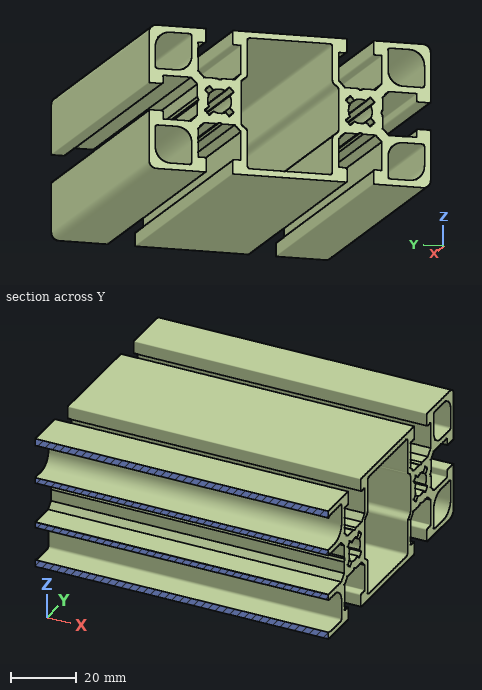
import cadquery as cq

LENGTH = 100.0
MODULE = 45.0
HALF_MODULE = MODULE / 2
WIDTH = 2 * MODULE
CELL_CENTRE = HALF_MODULE
OUTER_RADIUS = 2.4

MOUTH_WIDTH = 8.5
LIP_THICKNESS = 4.5
LIP_OUTER_RADIUS = 0.3
LIP_INNER_RADIUS = 0.5
CHANNEL_WIDTH = 13.7
CHANNEL_CORNER_RADIUS = 0.3
CHANNEL_DEPTH = 15.4
FLOOR_CHAMFER = 2.0
NOTCH_HALF_WIDTH = 0.9
NOTCH_DEPTH = 0.4

WALL = 2.0
POCKET_LARGE_RADIUS = 4.8
POCKET_SMALL_RADIUS = 0.8
CORE_HALF_WIDTH = 6.9
WAIST_HALF_HEIGHT = 6.9
CHAMBER_STEP_DEPTH = 2.0
CHAMBER_STEP_RISE = 1.4
CHAMBER_STEP_RADIUS = 1.5
CHAMBER_CORNER_RADIUS = 0.9

BORE_DIAMETER = 7.6
RELIEF_WIDTH = 2.0
RELIEF_LENGTH = 11.0


def section():
    """Sketch plane of the profile: local x is +Y, local y is +Z."""
    return cq.Workplane("YZ")


def extrude(sketch):
    """Extrude a closed sketch over the full length, centred on X = 0."""
    return sketch.extrude(LENGTH / 2, both=True)


def turn(body, angle):
    """Turn a body about the X axis."""
    return body.rotate((0, 0, 0), (1, 0, 0), angle)


def make_blank():
    return extrude(section().rect(WIDTH, MODULE)).edges("|X").fillet(OUTER_RADIUS)


def make_slot():
    """T-slot cutter for the top face, with a centring notch in its floor."""
    half_mouth = MOUTH_WIDTH / 2
    half_channel = CHANNEL_WIDTH / 2
    lip_level = HALF_MODULE - LIP_THICKNESS
    floor = HALF_MODULE - CHANNEL_DEPTH
    half_outline = (
        section()
        .moveTo(0, HALF_MODULE)
        .lineTo(half_mouth + LIP_OUTER_RADIUS, HALF_MODULE)
        .radiusArc((half_mouth, HALF_MODULE - LIP_OUTER_RADIUS), -LIP_OUTER_RADIUS)
        .lineTo(half_mouth, lip_level + LIP_INNER_RADIUS)
        .radiusArc((half_mouth + LIP_INNER_RADIUS, lip_level), -LIP_INNER_RADIUS)
        .lineTo(half_channel - CHANNEL_CORNER_RADIUS, lip_level)
        .radiusArc((half_channel, lip_level - CHANNEL_CORNER_RADIUS), CHANNEL_CORNER_RADIUS)
        .lineTo(half_channel, floor + FLOOR_CHAMFER)
        .lineTo(half_channel - FLOOR_CHAMFER, floor)
        .lineTo(NOTCH_HALF_WIDTH, floor)
        .lineTo(0, floor - NOTCH_DEPTH)
    )
    return extrude(half_outline.mirrorY())


def make_corner_pocket():
    """Hollow in the +Y +Z corner of a cell, symmetric about the cell diagonal."""
    inner = CHANNEL_WIDTH / 2 + WALL
    outer = HALF_MODULE - WALL
    size = outer - inner
    middle = (inner + outer) / 2
    pocket = extrude(section().center(middle, middle).rect(size, size))
    corners_off_diagonal = pocket.edges("|X").edges(">(0, 1, -1) or <(0, 1, -1)")
    pocket = corners_off_diagonal.fillet(POCKET_SMALL_RADIUS)
    corners_on_diagonal = pocket.edges("|X").edges(">(0, 1, 1) or <(0, 1, 1)")
    return corners_on_diagonal.fillet(POCKET_LARGE_RADIUS)


def make_screw_bore():
    """Round bore with two crossing diagonal relief slots."""
    bore = extrude(section().circle(BORE_DIAMETER / 2))
    relief = extrude(section().rect(RELIEF_LENGTH, RELIEF_WIDTH))
    return bore.union(turn(relief, 45)).union(turn(relief, -45))


def make_chamber():
    """Middle chamber, waisted where it passes between the two cores."""
    waist = CELL_CENTRE - CORE_HALF_WIDTH
    side = waist - CHAMBER_STEP_DEPTH
    shoulder = WAIST_HALF_HEIGHT + CHAMBER_STEP_RISE
    ceiling = HALF_MODULE - WALL
    upper_right = [(waist, WAIST_HALF_HEIGHT), (side, shoulder), (side, ceiling)]
    upper_left = [(-y, z) for y, z in reversed(upper_right)]
    lower_half = [(-y, -z) for y, z in upper_right + upper_left]
    chamber = extrude(section().polyline(upper_right + upper_left + lower_half).close())
    corners = chamber.faces(">Z or <Z").edges("|X")
    chamber = corners.fillet(CHAMBER_CORNER_RADIUS)
    step_limit = (LENGTH, WIDTH, HALF_MODULE / 2)
    step_zone = cq.selectors.BoxSelector([-v for v in step_limit], step_limit)
    return chamber.edges("|X").edges(step_zone).fillet(CHAMBER_STEP_RADIUS)


result = make_blank().cut(make_chamber())

slot = make_slot()
pocket = make_corner_pocket()
bore = make_screw_bore()
for cell_turn, cell_y in ((0, CELL_CENTRE), (180, -CELL_CENTRE)):
    cutters = [bore]
    cutters += [turn(slot, cell_turn + angle) for angle in (0, -90, 180)]
    cutters += [turn(pocket, cell_turn + angle) for angle in (0, -90)]
    for cutter in cutters:
        result = result.cut(cutter.translate((0, cell_y, 0)))